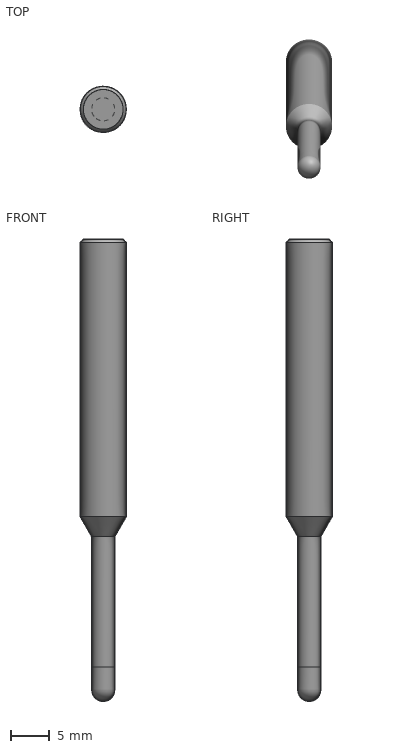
import cadquery as cq
import math

total_length = 60.0
shank_diameter = 6.0
neck_diameter = 3.0
shank_start = 24.0
taper_half_angle = 30.0
end_chamfer = 0.4
cutter_length = 4.5

shank_radius = shank_diameter / 2
neck_radius = neck_diameter / 2
taper_height = (shank_radius - neck_radius) / math.tan(math.radians(taper_half_angle))
neck_end = shank_start - taper_height


def make_shank():
    """Chamfered shank with a tapered shoulder and a slim neck, as one solid."""
    profile = (
        cq.Workplane("XZ")
        .moveTo(0, cutter_length)
        .lineTo(neck_radius, cutter_length)
        .lineTo(neck_radius, neck_end)
        .lineTo(shank_radius, shank_start)
        .lineTo(shank_radius, total_length)
        .lineTo(0, total_length)
        .close()
    )
    body = profile.revolve(360, (0, 0, 0), (0, 1, 0))
    return body.faces(">Z").chamfer(end_chamfer)


def make_cutter():
    """Cylindrical cutting tip ending in a hemisphere, flush with the neck."""
    arc_offset = neck_radius * math.sin(math.radians(45))
    profile = (
        cq.Workplane("XZ")
        .moveTo(0, 0)
        .threePointArc((arc_offset, neck_radius - arc_offset), (neck_radius, neck_radius))
        .lineTo(neck_radius, cutter_length)
        .lineTo(0, cutter_length)
        .close()
    )
    return profile.revolve(360, (0, 0, 0), (0, 1, 0))


shank = make_shank()
cutter = make_cutter()

result = cq.Compound.makeCompound([shank.val(), cutter.val()])